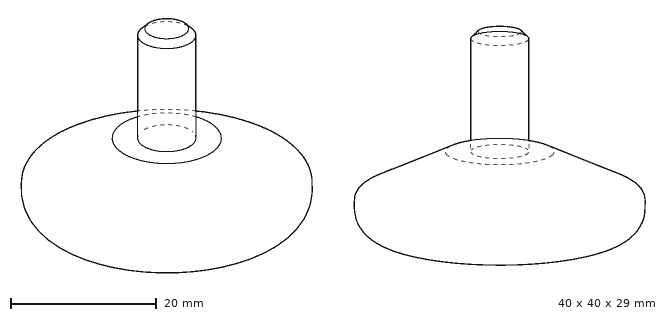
import cadquery as cq

base_diameter = 40
base_height = 12
rim_height = 6
cone_top_diameter = 15.0
bottom_rounding = 4
rim_rounding = 1.5

stem_diameter = 8
stem_length = 17.0
stem_chamfer = 1.0


def make_base():
    """Short cylinder topped by a cone, with both rim edges rounded."""
    base_radius = base_diameter / 2
    profile = (
        cq.Workplane("XZ")
        .lineTo(base_radius, 0)
        .lineTo(base_radius, rim_height)
        .lineTo(cone_top_diameter / 2, base_height)
        .lineTo(0, base_height)
        .close()
    )
    base = profile.revolve(360, (0, 0, 0), (0, 1, 0))
    base = base.faces("<Z").edges().fillet(bottom_rounding)
    return base.faces("%CYLINDER").edges(">Z").fillet(rim_rounding)


def make_stem():
    """Upright pin with a chamfered tip, standing on the base."""
    stem = cq.Workplane("XY").workplane(offset=base_height).circle(stem_diameter / 2).extrude(stem_length)
    return stem.faces(">Z").chamfer(stem_chamfer)


result = make_base().union(make_stem())